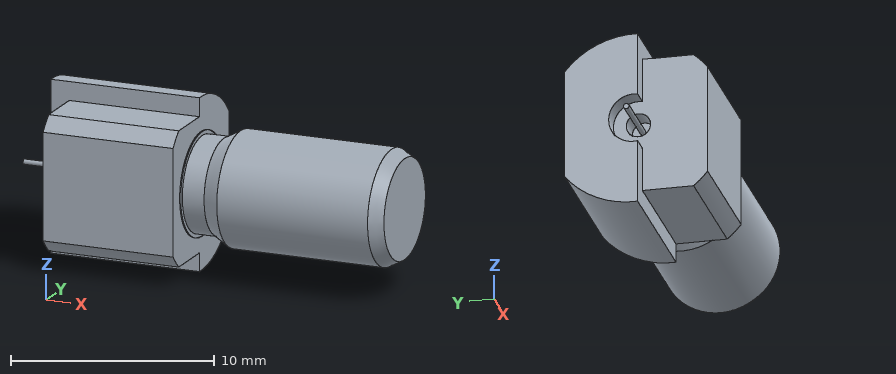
import cadquery as cq

body_start = 1.5
step_face = 2.5
body_end = 9.46
collar_end = 9.52
neck_end = 10.68
barrel_start = 11.58
barrel_chamfer_start = 19.64
barrel_end = 20.35

body_radius = 4.48
body_width = 7.0
step_y = -0.2

collar_radius = 2.69
neck_radius = 2.48
barrel_radius = 3.0
barrel_tip_radius = 2.6
recess_radius = 1.26
bore_radius = 0.61
pin_radius = 0.15

bore_depth = 1.22


def cylinder_x(radius, start, end):
    """Solid cylinder on the X axis between two stations."""
    return cq.Workplane("YZ", origin=(start, 0, 0)).circle(radius).extrude(end - start)


def block(start, end, y_min, y_max, height):
    """Box between the given X and Y limits, centred on Z = 0."""
    return cq.Workplane("XY").box(
        end - start, y_max - y_min, height, centered=(False, False, True)
    ).translate((start, y_min, 0))


def make_body():
    """Round bar with flats: a tall rear half and a lower, shorter front half."""
    half_width = body_width / 2
    rear = block(body_start, body_end, step_y, half_width, 2 * body_radius)
    front = block(step_face, body_end, -half_width, step_y, body_width)
    return rear.union(front).intersect(cylinder_x(body_radius, body_start, body_end))


def make_barrel():
    """Collar, neck and chamfered barrel turned about the X axis."""
    profile = [
        (body_end, 0),
        (body_end, collar_radius),
        (collar_end, collar_radius),
        (collar_end, neck_radius),
        (neck_end, neck_radius),
        (barrel_start, barrel_radius),
        (barrel_chamfer_start, barrel_radius),
        (barrel_end, barrel_tip_radius),
        (barrel_end, 0),
    ]
    return cq.Workplane("XY").polyline(profile).close().revolve(360, (0, 0, 0), (1, 0, 0))


bore_end = step_face + bore_depth
recess = cylinder_x(recess_radius, body_start, step_face)
bore = cylinder_x(bore_radius, step_face, bore_end)

pin = cylinder_x(pin_radius, 0, bore_end)

result = make_body().union(make_barrel()).cut(recess).cut(bore).union(pin)